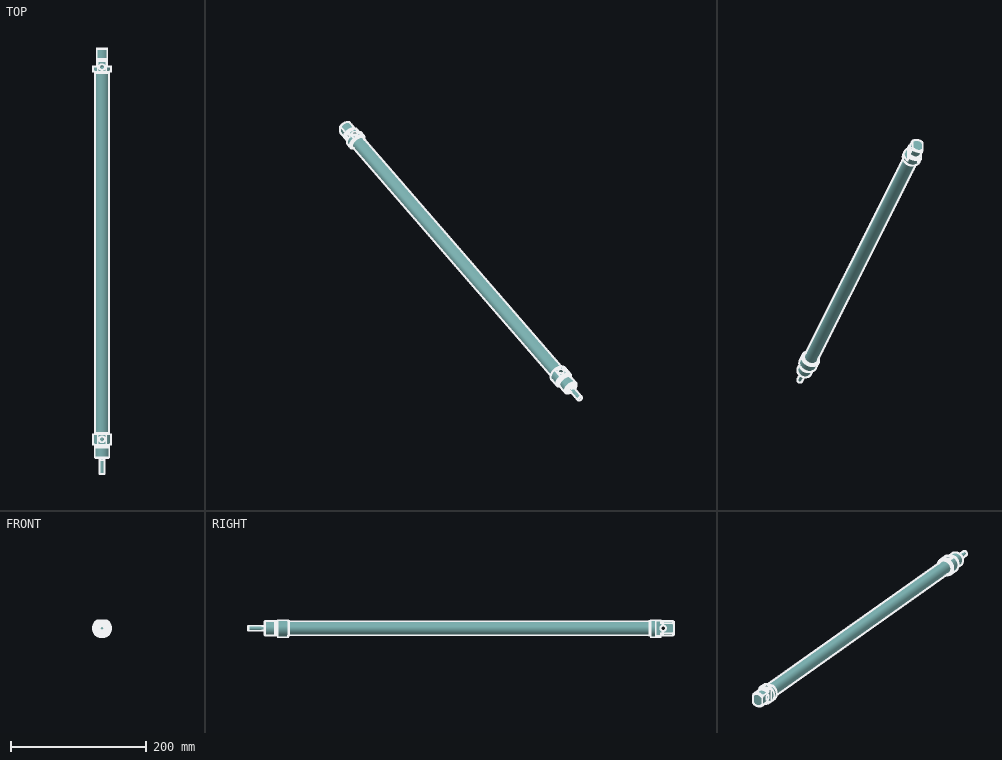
import cadquery as cq
import math

total_length = 631.0
rod_tip_y = -total_length / 2
tail_y = total_length / 2

rod_diameter = 8.0
rod_flat_width = 7.0
rod_flat_length = 3.5
rod_protrusion = 24.0
rod_tip_diameter = 6.4

tube_diameter = 21.27

thread_diameter = 22.0
neck_length = 20.0
neck_chamfer = 1.5
bearing_diameter = 12.0
bearing_groove_diameter = 14.2
bearing_groove_depth = 0.5

relief_diameter = 20.0
relief_width = 1.5
lug_relief_width = 0.6
thread_runout = 1.15
collar_diameter = 22.2
collar_width = 1.9

lug_width = 16.0
lug_chamfer = 1.5
pivot_diameter = 8.0
pivot_from_tail = 16.0
flat_from_tail = 27.0

cap_diameter = 27.0
cap_flat_height = 12.0
cap_length = 15.5
rear_cap_from_tail = 19.3

port_diameter = 8.57
rear_port_depth = 6.0
drill_point_angle = 118.0
rear_port_from_tail = 28.0

neck_y = rod_tip_y + rod_protrusion
front_cap_y = neck_y + neck_length
rear_cap_end_y = tail_y - rear_cap_from_tail
rear_cap_y = rear_cap_end_y - cap_length
front_port_y = front_cap_y + cap_length / 2
rear_port_y = tail_y - rear_port_from_tail


def cylinder(diameter, start_y, end_y):
    """Cylinder on the Y axis between two Y positions."""
    plane = cq.Workplane("XZ", origin=(0, start_y, 0))
    return plane.circle(diameter / 2).extrude(start_y - end_y)


def cap(start_y):
    """Cap with a flat on its +Z side and a collar on both ends."""
    end_y = start_y + cap_length
    cap_body = cylinder(cap_diameter, start_y, end_y)
    above_flat = cq.Workplane("XY", origin=(0, start_y + cap_length / 2, cap_flat_height)).box(
        cap_diameter, cap_length, cap_diameter, centered=(True, True, False)
    )
    collars = cylinder(collar_diameter, start_y - collar_width, end_y + collar_width)
    return cap_body.cut(above_flat).union(collars)


def front_port():
    """Port bore reaching down to the axis, where the rod crosses it."""
    plane = cq.Workplane("XY", origin=(0, front_port_y, 0))
    return plane.circle(port_diameter / 2).extrude(cap_flat_height)


def rear_port():
    """Blind port bore with a drill-point bottom."""
    radius = port_diameter / 2
    bottom_z = cap_flat_height - rear_port_depth
    point_z = bottom_z - radius / math.tan(math.radians(drill_point_angle / 2))
    profile = [(0, cap_flat_height), (radius, cap_flat_height), (radius, bottom_z), (0, point_z)]
    section = cq.Workplane("XZ", origin=(0, rear_port_y, 0)).polyline(profile).close()
    return section.revolve(360, (0, 0), (0, 1))


def rod():
    body = cylinder(rod_diameter, rod_tip_y, front_cap_y + cap_length)
    body = body.faces("<Y").chamfer((rod_diameter - rod_tip_diameter) / 2)
    for side in (-1, 1):
        flat_z = side * (rod_flat_width + rod_diameter) / 2
        beyond_flat = cq.Workplane("XY", origin=(0, neck_y - rod_flat_length / 2, flat_z))
        body = body.cut(beyond_flat.box(rod_diameter, rod_flat_length, rod_diameter))
    return body


def thread_end(thread_y, collar_y):
    """Conical thread runout and relief between the end of a thread and a collar."""
    runout = math.copysign(thread_runout, collar_y - thread_y)
    profile = [
        (0, thread_y),
        (thread_diameter / 2, thread_y),
        (relief_diameter / 2, thread_y + runout),
        (relief_diameter / 2, collar_y),
        (0, collar_y),
    ]
    return cq.Workplane("XY").polyline(profile).close().revolve(360, (0, 0), (0, 1))


def neck():
    collar_y = front_cap_y - collar_width
    thread_y = collar_y - relief_width - thread_runout
    thread = cylinder(thread_diameter, neck_y, thread_y).faces("<Y").chamfer(neck_chamfer)
    groove_end_y = neck_y + bearing_groove_depth
    groove = cylinder(bearing_groove_diameter, neck_y, groove_end_y).cut(
        cylinder(bearing_diameter, neck_y, groove_end_y)
    )
    return thread.cut(groove).union(thread_end(thread_y, collar_y))


def rear_end():
    """Rear cap and lug, flattened on both X sides and cross-drilled for the pivot pin."""
    collar_y = rear_cap_end_y + collar_width
    thread_y = collar_y + lug_relief_width + thread_runout
    lug = cylinder(thread_diameter, thread_y, tail_y).faces(">Y").chamfer(lug_chamfer)
    body = cap(rear_cap_y).union(thread_end(thread_y, collar_y)).union(lug)
    for side in (-1, 1):
        cheek_x = side * (lug_width + cap_diameter) / 2
        cheek = cq.Workplane("XY", origin=(cheek_x, tail_y - flat_from_tail / 2, 0))
        body = body.cut(cheek.box(cap_diameter, flat_from_tail, 2 * cap_diameter))
    pivot = cq.Workplane("YZ", origin=(0, tail_y - pivot_from_tail, 0))
    return body.cut(pivot.circle(pivot_diameter / 2).extrude(lug_width, both=True))


result = (
    cylinder(tube_diameter, front_cap_y, rear_cap_y)
    .union(neck())
    .union(cap(front_cap_y))
    .union(rear_end())
    .cut(front_port())
    .cut(rear_port())
    .union(rod())
)